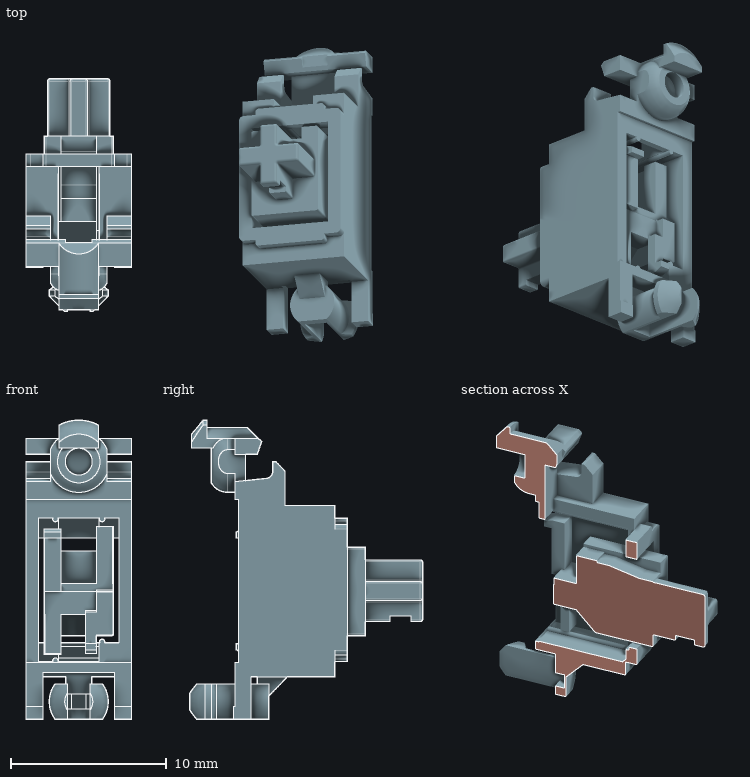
import cadquery as cq
import math


half_width = 3.4
front_y = 0.23
shell_back_y = 6.41
plate_back_y = 7.22
shell_bottom = 2.73
shell_top = 13.73
frame_low_z = 3.65
frame_high_z = 14.1

cavity_half_width = 2.57
cavity_floor = 3.7
cavity_ceiling = 12.9
pad_front_y = 5.95
channel_half_width = 1.3
opening_low_z = 4.92
opening_high_z = 11.62
rib_radius = 0.17
rib_x = 1.5
rib_drop = 0.05
floor_ramp = 0.23
sill_step = 0.23

plate_corner_z = 12.5
plate_corner_radius = 0.3
plate_step_half_width = 2.28
plate_step_radius = 0.17

catch_back_y = 3.23
catch_shoulder_z = 15.92
catch_tip_y = 2.63
catch_tip_z = 16.53
catch_front_y = 2.42
catch_root_z = 15.85
catch_ramp_y = 1.94
catch_ramp_z = 15.45
base_front_z = 15.25
catch_inner_x = 1.8

leg_inner_x = 2.28
leg_back_y = 1.04
leg_opening_top = 3.01
foot_height = 0.83
foot_lip = 0.08

latch_axis_z = 16.53
boss_radius = 1.98
boss_half_width = 1.82
boss_front_y = -1.52
boss_round_y = -0.48
boss_mid_y = -1.1
boss_mid_radius = 1.8
boss_face_radius = 1.36
boss_hole_radius = 0.86
boss_hole_depth = 0.77
stem_back_y = 0.7
bar_bottom = 17.0
bar_top = 18.03
bar_bottom_back_y = 1.44
bar_edge_y = 1.73
bar_edge_z = 17.82
bar_top_back_y = 1.5
bar_notch_half_width = 0.85
bar_notch_y = 1.54
tongue_half_width = 1.27
tongue_bottom = 17.4
tongue_crown_z = 18.72
crown_back_y = 0.8
lip_back_y = -1.79
lip_ridge_y = -2.04
lip_tip_y = -2.78
lip_ridge_z = 19.2
lip_tip_z = 18.3

pin_height = 2.27
pin_axis_z = pin_height / 2
pin_back_y = 2.19
barrel_radius = 1.48
head_radius = 1.9
neck_y = -1.2
head_back_y = -1.5
head_front_y = -1.9
pin_tip_y = -2.9
pin_tip_radius = 0.9
slit_half_width = 0.73
slit_end_y = 1.42
slit_pocket_half_width = 0.46
slit_pocket_half_height = 0.48
slit_pocket_end_y = 2.04
web_half_width = 0.85
web_back_y = 3.38
web_low_z = 1.5

block_half_width = 2.23
block_front_y = 2.88
block_back_y = 8.37
block_bottom = 5.35
block_top = 11.04
block_round = 0.12
side_inner_x = 1.13
centre_top = 10.8
centre_step_y = 4.38
centre_step_z = 10.68
centre_slope_y = 5.22
centre_slope_end_y = 7.37
centre_low_z = 10.27
plug_end_y = 12.05
plug_half_width = 2.0
plug_wing_low_z = 7.62
plug_wing_high_z = 8.83
plug_column_half_width = 0.55
plug_column_low_z = 6.25
plug_column_high_z = 10.23
plug_round = 0.1
plug_end_round = 0.17
plug_notch_front_y = 9.96
plug_notch_back_y = 11.29
plug_notch_top = 6.62
carrier_face_y = 1.25
arm_face_y = 0.63
carrier_bottom = 6.72
carrier_top = 8.72
arm_joint_z = 8.2
recessed_face_y = 1.3
left_leg_bottom = 4.15
left_leg_back_y = 1.86
left_arm_top = 12.21
left_arm_back_y = 1.54
right_arm_top = 12.36
right_arm_back_y = 2.3
right_tab_bottom = 5.4
right_tab_top = 8.3
finger_inner_x = 0.42
finger_top = 6.99
finger_bottom = 4.2
hook_tip_y = 0.08
left_hook_low_z = 11.62
left_hook_high_z = 12.02
finger_hook_high_z = 4.85
finger_hook_low_z = 4.45
edge_bevel = 0.05
tab_corner = 0.1
tab_gusset = 0.12


def block(x_range, y_range, z_range):
    """Box spanning the given X, Y and Z ranges."""
    (x0, x1), (y0, y1), (z0, z1) = x_range, y_range, z_range
    return cq.Workplane("XY").box(x1 - x0, y1 - y0, z1 - z0, centered=False).translate((x0, y0, z0))


def side_profile(points, x0, x1):
    """Straight-sided (Y, Z) outline extruded from x0 to x1."""
    return cq.Workplane("YZ").workplane(offset=x0).polyline(points).close().extrude(x1 - x0)


def along_y(outline, y0, y1):
    """Extrude an outline drawn on the XZ plane from y0 to y1."""
    return outline.extrude(y0 - y1).translate((0, y0, 0))


def centred(half):
    """Range of the given half width about zero."""
    return (-half, half)


def turned(outline, axis_z):
    """Revolve a closed (radius, Y) outline about the line X = 0, Z = axis_z."""
    return outline.close().revolve(360, (0, 0, 0), (0, 1, 0)).translate((0, 0, axis_z))


def housing_shell():
    """Side outline across the full width, with gaps between the catches and between the legs."""
    bend = math.sqrt(0.5)
    radius = catch_root_z - catch_ramp_z
    outline = (
        cq.Workplane("YZ").workplane(offset=-half_width)
        .moveTo(leg_back_y, 0)
        .lineTo(leg_back_y, shell_bottom)
        .lineTo(shell_back_y, shell_bottom)
        .lineTo(shell_back_y, shell_top)
        .lineTo(catch_back_y, shell_top)
        .lineTo(catch_back_y, catch_shoulder_z)
        .lineTo(catch_tip_y, catch_tip_z)
        .lineTo(catch_front_y, catch_tip_z)
        .lineTo(catch_front_y, catch_root_z)
        .threePointArc(
            (catch_ramp_y + (catch_front_y - catch_ramp_y) * bend, catch_root_z - radius * bend),
            (catch_ramp_y, catch_ramp_z))
        .lineTo(0, base_front_z)
        .lineTo(0, frame_high_z)
        .lineTo(front_y, frame_high_z)
        .lineTo(front_y, frame_low_z)
        .lineTo(0, frame_low_z)
        .lineTo(0, foot_height)
        .lineTo(-foot_lip, foot_height)
        .lineTo(-foot_lip, 0)
        .close()
    )
    shell = outline.extrude(2 * half_width)
    catch_gap = block(centred(catch_inner_x), (stem_back_y, catch_back_y), (shell_top, catch_tip_z))
    leg_gap = block(centred(leg_inner_x), (-foot_lip, slit_end_y), (0, leg_opening_top))
    return shell.cut(catch_gap).cut(leg_gap)


def rear_plate():
    """Raised rear plate: rounded outer corners and a narrower rounded step above and below."""
    middle_z = (cavity_floor + cavity_ceiling) / 2
    corner_half = plate_corner_z - middle_z
    depth = plate_back_y - shell_back_y
    wide = (
        cq.Workplane("XY").box(2 * half_width, depth, 2 * corner_half)
        .edges("|Y").fillet(plate_corner_radius)
    )
    tall = (
        cq.Workplane("XY").box(2 * plate_step_half_width, depth, cavity_ceiling - cavity_floor)
        .edges("|Y").fillet(plate_step_radius)
    )
    return wide.union(tall).translate((0, (shell_back_y + plate_back_y) / 2, middle_z))


def cavity():
    """Hollow of the housing: room, centre channel, rear opening and top slot, less the ribs."""
    room = block(centred(cavity_half_width), (0, pad_front_y), (cavity_floor, cavity_ceiling))
    corner = block(
        (channel_half_width, cavity_half_width), (0, pad_front_y), (cavity_floor, opening_low_z))
    channel = block(centred(channel_half_width), (front_y, shell_back_y), (cavity_floor, cavity_ceiling))
    ramp = side_profile(
        [(shell_back_y, cavity_floor), (shell_back_y, cavity_floor + floor_ramp),
         (shell_back_y - floor_ramp, cavity_floor)],
        -channel_half_width, channel_half_width)
    opening = block(
        centred(cavity_half_width), (pad_front_y, plate_back_y), (opening_low_z, opening_high_z))
    sill = block(
        centred(channel_half_width), (shell_back_y, shell_back_y + sill_step),
        (opening_low_z - sill_step, opening_low_z))
    top_slot = block(
        centred(channel_half_width), (stem_back_y, shell_back_y), (cavity_ceiling, shell_top))
    hollow = room.cut(corner).union(channel.cut(ramp)).union(opening).union(sill).union(top_slot)
    rib_places = [
        (-rib_x, cavity_ceiling - rib_drop), (rib_x, cavity_ceiling - rib_drop),
        (-rib_x, cavity_floor + rib_drop), (rib_x, opening_low_z + rib_drop),
    ]
    ribs = along_y(
        cq.Workplane("XZ").pushPoints(rib_places).circle(rib_radius), front_y, pad_front_y)
    return hollow.cut(ribs)


def latch_boss():
    """Round boss with a curved front edge, flattened at the sides, with a blind hole."""
    boss = turned(
        cq.Workplane("XY").moveTo(0, 0).lineTo(boss_radius, 0).lineTo(boss_radius, boss_round_y)
        .threePointArc((boss_mid_radius, boss_mid_y), (boss_face_radius, boss_front_y))
        .lineTo(0, boss_front_y), latch_axis_z)
    hole = along_y(
        cq.Workplane("XZ").center(0, latch_axis_z).circle(boss_hole_radius),
        boss_front_y, boss_front_y + boss_hole_depth)
    sides = block(
        centred(boss_half_width), (boss_front_y, 0), (latch_axis_z - boss_radius, bar_top))
    return boss.intersect(sides).cut(hole)


def latch_bar():
    """Cross bar of the latch and the stem that joins it to the frame."""
    bar = side_profile(
        [(0, bar_bottom), (bar_bottom_back_y, bar_bottom), (bar_edge_y, bar_edge_z),
         (bar_top_back_y, bar_top), (0, bar_top)],
        -half_width, half_width)
    notch = block(centred(bar_notch_half_width), (bar_notch_y, bar_edge_y), (bar_bottom, bar_top))
    stem = block(centred(boss_half_width), (0, stem_back_y), (frame_high_z, bar_top))
    return bar.cut(notch).union(stem)


def latch_tongue():
    """Crowned thumb tongue over the boss, ending in a raised lip."""
    crown = along_y(
        cq.Workplane("XZ").moveTo(-tongue_half_width, tongue_bottom)
        .lineTo(-tongue_half_width, bar_top)
        .threePointArc((0, tongue_crown_z), (tongue_half_width, bar_top))
        .lineTo(tongue_half_width, tongue_bottom).close(),
        lip_tip_y, bar_top_back_y)
    crown_side = side_profile(
        [(lip_back_y, tongue_bottom), (0, tongue_bottom), (0, bar_bottom),
         (bar_top_back_y, bar_bottom), (bar_top_back_y, bar_top),
         (crown_back_y, tongue_crown_z), (lip_back_y, tongue_crown_z)],
        -tongue_half_width, tongue_half_width)
    lip = turned(
        cq.Workplane("XY").moveTo(0, lip_back_y)
        .lineTo(lip_ridge_z - latch_axis_z, lip_back_y)
        .lineTo(lip_ridge_z - latch_axis_z, lip_ridge_y)
        .lineTo(lip_tip_z - latch_axis_z, lip_tip_y)
        .lineTo(0, lip_tip_y), latch_axis_z)
    lip_limits = block(
        centred(tongue_half_width), (lip_tip_y, lip_back_y), (tongue_bottom, lip_ridge_z))
    return crown.intersect(crown_side).union(lip.intersect(lip_limits))


def split_pin():
    """Flat-sided round pin with a conical head, split by a slit, hung from a web."""
    pin = turned(
        cq.Workplane("XY").moveTo(0, pin_back_y)
        .lineTo(barrel_radius, pin_back_y)
        .lineTo(barrel_radius, neck_y)
        .lineTo(head_radius, head_back_y)
        .lineTo(head_radius, head_front_y)
        .lineTo(pin_tip_radius, pin_tip_y)
        .lineTo(0, pin_tip_y), pin_axis_z)
    flats = block(centred(head_radius), (pin_tip_y, pin_back_y), (0, pin_height))
    slit = block(centred(slit_half_width), (pin_tip_y, slit_end_y), (0, pin_height))
    pocket = (
        cq.Workplane("XY").workplane(offset=pin_axis_z - slit_pocket_half_height)
        .polyline([(-slit_half_width, slit_end_y), (slit_half_width, slit_end_y),
                   (slit_pocket_half_width, slit_pocket_end_y),
                   (-slit_pocket_half_width, slit_pocket_end_y)])
        .close().extrude(2 * slit_pocket_half_height)
    )
    web = side_profile(
        [(slit_end_y, pin_axis_z), (pin_back_y, pin_axis_z), (pin_back_y, web_low_z),
         (web_back_y, shell_bottom), (slit_end_y, shell_bottom)],
        -web_half_width, web_half_width)
    return pin.intersect(flats).cut(slit).union(web).cut(pocket)


def build_housing():
    body = housing_shell().union(rear_plate()).cut(cavity())
    for feature in (latch_boss(), latch_bar(), latch_tongue(), split_pin()):
        body = body.union(feature)
    return body


def insert_block():
    """Rear block with a stepped, sloping centre channel on top and a bevel under its front."""
    body = block(
        centred(block_half_width), (block_front_y, block_back_y), (block_bottom, block_top)
    ).edges("|Y").fillet(block_round)
    channel = side_profile(
        [(block_front_y, block_top), (block_front_y, centre_top),
         (centre_step_y, centre_top), (centre_step_y, centre_step_z),
         (centre_slope_y, centre_step_z), (centre_slope_end_y, centre_low_z),
         (block_back_y, centre_low_z), (block_back_y, block_top)],
        -side_inner_x, side_inner_x)
    bevel_height = carrier_bottom - block_bottom
    under_bevel = side_profile(
        [(block_front_y, block_bottom), (block_front_y, carrier_bottom),
         (block_front_y + bevel_height, block_bottom)],
        -side_inner_x, side_inner_x)
    return body.cut(channel).cut(under_bevel)


def plug():
    """Cross-shaped plug with rounded edges and a notch under its centre column."""
    length = (block_back_y, plug_end_y)
    wings = block(centred(plug_half_width), length, (plug_wing_low_z, plug_wing_high_z))
    column = block(centred(plug_column_half_width), length, (plug_column_low_z, plug_column_high_z))
    cross = wings.union(column)
    cross = cross.edges("|Y").fillet(plug_round)
    cross = cross.faces(">Y").edges().fillet(plug_end_round)
    notch = block(
        centred(plug_column_half_width), (plug_notch_front_y, plug_notch_back_y),
        (plug_column_low_z, plug_notch_top))
    return cross.cut(notch)


def carrier():
    """Plate behind the arms, with the left leg below it and the right arm, leg and wing."""
    left_side = (-block_half_width, -side_inner_x)
    right_side = (side_inner_x, block_half_width)
    lower_bar = block(
        centred(block_half_width), (carrier_face_y, block_front_y), (carrier_bottom, arm_joint_z))
    upper_bar = block(
        centred(block_half_width), (recessed_face_y, block_front_y), (arm_joint_z, carrier_top))
    left_leg = block(left_side, (carrier_face_y, left_leg_back_y), (left_leg_bottom, arm_joint_z))
    left_leg = left_leg.faces("<Y").edges("<X or <Z").chamfer(edge_bevel)
    right_leg = block(right_side, (carrier_face_y, block_front_y), (right_tab_bottom, arm_joint_z))
    right_arm = block(right_side, (recessed_face_y, right_arm_back_y), (arm_joint_z, right_arm_top))
    right_arm = right_arm.faces("<Y").edges(">X").chamfer(edge_bevel)
    right_wing = block(right_side, (right_arm_back_y, block_front_y), (arm_joint_z, block_top))
    body = lower_bar
    for feature in (upper_bar, left_leg, right_leg, right_arm, right_wing):
        body = body.union(feature)
    return body


def left_arm():
    """Upper left arm with its hook at the top."""
    return side_profile(
        [(left_arm_back_y, arm_joint_z), (arm_face_y, arm_joint_z),
         (arm_face_y, left_hook_low_z), (hook_tip_y, left_hook_low_z),
         (hook_tip_y, left_hook_high_z), (arm_face_y, left_arm_top),
         (left_arm_back_y, left_arm_top)],
        -block_half_width, -side_inner_x)


def right_tab():
    """Lower right tab and the hooked finger beside it."""
    tab = side_profile(
        [(carrier_face_y, right_tab_top), (carrier_face_y - tab_gusset, right_tab_top - tab_gusset),
         (arm_face_y, right_tab_top - tab_gusset), (arm_face_y, right_tab_bottom),
         (carrier_face_y, right_tab_bottom)],
        side_inner_x, block_half_width)
    tab = tab.faces(">X").edges("<Z").chamfer(tab_corner)
    finger = side_profile(
        [(carrier_face_y, finger_top), (carrier_face_y - tab_gusset, finger_top - tab_gusset),
         (arm_face_y, finger_top - tab_gusset),
         (arm_face_y, finger_hook_high_z), (hook_tip_y, finger_hook_high_z),
         (hook_tip_y, finger_hook_low_z), (arm_face_y, finger_bottom),
         (carrier_face_y, finger_bottom)],
        finger_inner_x, side_inner_x)
    return tab.union(finger)


def build_insert():
    body = insert_block()
    for feature in (plug(), carrier(), left_arm(), right_tab()):
        body = body.union(feature)
    return body


housing = build_housing()
insert = build_insert()
result = cq.Compound.makeCompound([housing.solids().val(), insert.solids().val()])